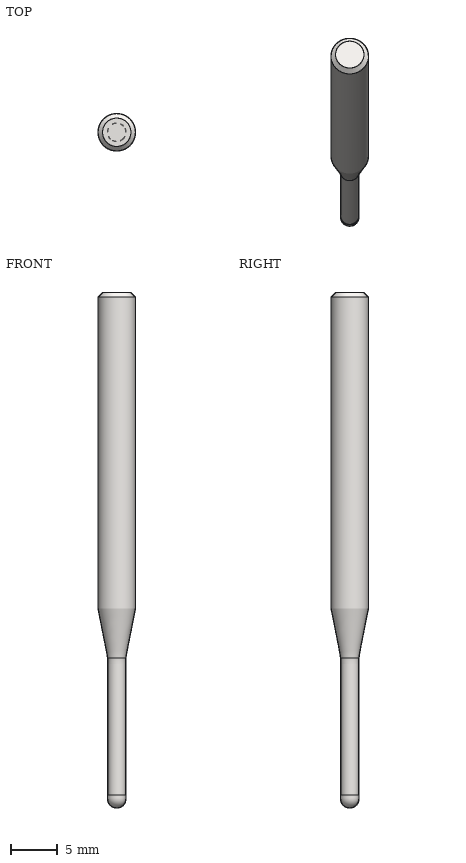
import cadquery as cq
import math

total_length = 55.0
shank_diameter = 4.0
shank_chamfer = 0.5
head_diameter = 2.0
head_length = 1.4
neck_diameter = 1.9
neck_length = 16.0
taper_end = 21.3
blend_tangent = 0.65

shank_radius = shank_diameter / 2
head_radius = head_diameter / 2
neck_radius = neck_diameter / 2
taper_angle = math.atan2(shank_radius - neck_radius, taper_end - neck_length)
blend_radius = blend_tangent / math.tan(taper_angle / 2)


def revolve_about_z(profile):
    """Turn a closed (radius, height) profile a full turn about the Z axis."""
    return profile.close().revolve(360, (0, 0, 0), (0, 1, 0))


def blend_point(fraction):
    """Point on the concave blend arc, from the neck (0) to the taper (1)."""
    angle = fraction * taper_angle
    radius = neck_radius + blend_radius * (1 - math.cos(angle))
    height = neck_length - blend_tangent + blend_radius * math.sin(angle)
    return radius, height


def make_cutter():
    """Ball-nosed cutting head on its relieved neck, up to the middle of the blend."""
    diagonal = head_radius * math.sqrt(0.5)
    joint_radius, joint_height = blend_point(0.5)
    profile = (
        cq.Workplane("XZ")
        .moveTo(0, 0)
        .threePointArc((diagonal, head_radius - diagonal), (head_radius, head_radius))
        .lineTo(head_radius, head_length)
        .lineTo(neck_radius, head_length)
        .lineTo(*blend_point(0))
        .threePointArc(blend_point(0.25), (joint_radius, joint_height))
        .lineTo(0, joint_height)
    )
    return revolve_about_z(profile)


def make_shank():
    """Upper half of the blend, taper and chamfered cylindrical shank."""
    joint_radius, joint_height = blend_point(0.5)
    profile = (
        cq.Workplane("XZ")
        .moveTo(0, joint_height)
        .lineTo(joint_radius, joint_height)
        .threePointArc(blend_point(0.75), blend_point(1))
        .lineTo(shank_radius, taper_end)
        .lineTo(shank_radius, total_length - shank_chamfer)
        .lineTo(shank_radius - shank_chamfer, total_length)
        .lineTo(0, total_length)
    )
    return revolve_about_z(profile)


cutter = make_cutter()
shank = make_shank()

result = cq.Compound.makeCompound([cutter.val(), shank.val()])